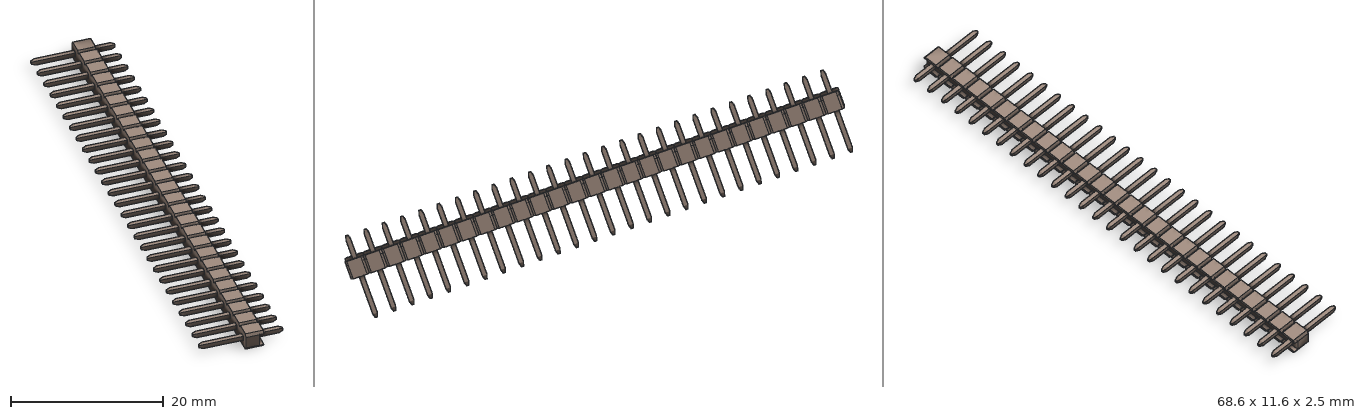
import cadquery as cq

PIN_COUNT = 27
PITCH = 2.54

BODY_DEPTH = 2.5
BODY_HEIGHT = 2.5
CHAMFER_WIDTH = 0.3
CHAMFER_HEIGHT = 0.4

CHANNEL_DEPTH = 0.6
FLANGE_THICKNESS = 0.38

PIN_SIZE = 0.64
PIN_FRONT_LENGTH = 6.07
PIN_REAR_LENGTH = 3.03
PIN_OFFSET_X = -0.1
TIP_LENGTH = 0.53
TIP_SIZE = 0.32

ROW_LENGTH = PIN_COUNT * PITCH
PIN_FRONT_Y = -BODY_DEPTH / 2 - PIN_FRONT_LENGTH
PIN_REAR_Y = BODY_DEPTH / 2 + PIN_REAR_LENGTH
SEGMENT_CENTRES = [(i - (PIN_COUNT - 1) / 2) * PITCH for i in range(PIN_COUNT)]


def make_segment():
    """One octagonal body segment, one pitch wide, centred on the origin."""
    half_width = PITCH / 2
    half_height = BODY_HEIGHT / 2
    flat_x = half_width - CHAMFER_WIDTH
    side_z = half_height - CHAMFER_HEIGHT
    outline = [
        (half_width, side_z),
        (flat_x, half_height),
        (-flat_x, half_height),
        (-half_width, side_z),
        (-half_width, -side_z),
        (-flat_x, -half_height),
        (flat_x, -half_height),
        (half_width, -side_z),
    ]
    return cq.Workplane("XZ").polyline(outline).close().extrude(BODY_DEPTH / 2, both=True)


def make_channel():
    """Cutter for the channel that runs the whole length of the rear face."""
    channel_height = BODY_HEIGHT - 2 * FLANGE_THICKNESS
    channel_y = (BODY_DEPTH - CHANNEL_DEPTH) / 2
    return cq.Workplane("XY").box(ROW_LENGTH, CHANNEL_DEPTH, channel_height).translate((0, channel_y, 0))


def make_body():
    """All segments joined side by side, with the rear channel cut away."""
    segment = make_segment()
    body = segment.translate((SEGMENT_CENTRES[0], 0, 0))
    for x in SEGMENT_CENTRES[1:]:
        body = body.union(segment.translate((x, 0, 0)))
    return body.cut(make_channel()).clean()


def make_tip(base_y, direction):
    """Tapered pin end that starts at base_y and points along direction (+1 or -1) in Y."""
    base = cq.Plane(origin=(0, base_y, 0), xDir=(1, 0, 0), normal=(0, direction, 0))
    return (
        cq.Workplane(base)
        .rect(PIN_SIZE, PIN_SIZE)
        .workplane(offset=TIP_LENGTH)
        .rect(TIP_SIZE, TIP_SIZE)
        .loft(ruled=True)
    )


def make_pin():
    """Pin on the Y axis, long enough to pass through the body, with a tip at each end."""
    front_base = PIN_FRONT_Y + TIP_LENGTH
    rear_base = PIN_REAR_Y - TIP_LENGTH
    shaft_y = (front_base + rear_base) / 2
    shaft = cq.Workplane("XY").box(PIN_SIZE, rear_base - front_base, PIN_SIZE).translate((0, shaft_y, 0))
    return shaft.union(make_tip(front_base, -1)).union(make_tip(rear_base, 1))


result = make_body()
pin = make_pin()
for segment_x in SEGMENT_CENTRES:
    result = result.union(pin.translate((segment_x + PIN_OFFSET_X, 0, 0)))